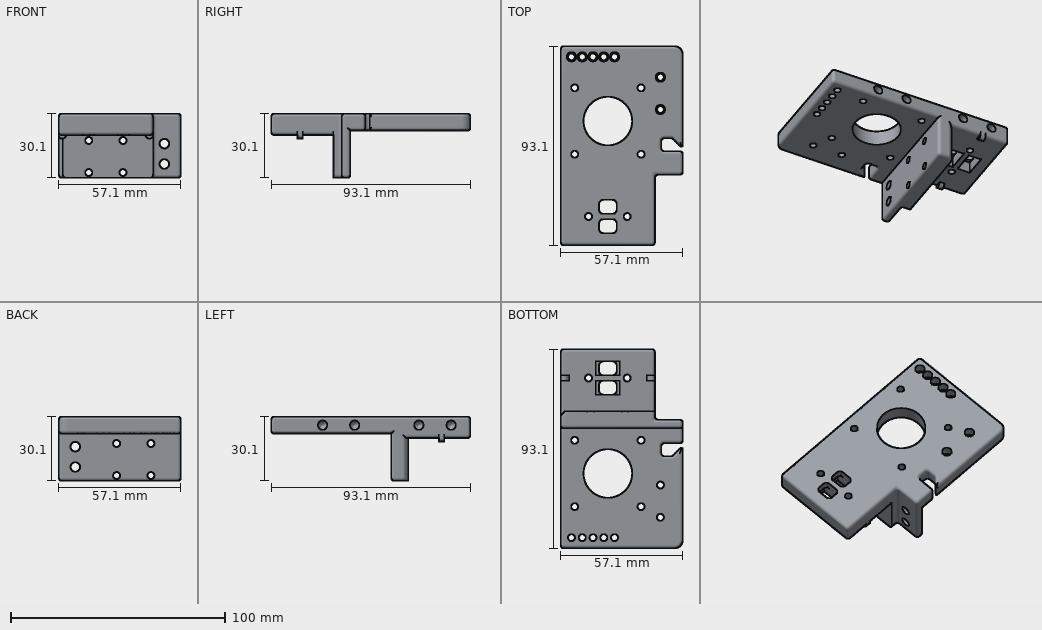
import cadquery as cq
import math

WIDTH = 57.1
LENGTH = 93.1
HEIGHT = 30.1
EDGE_ROUND = 1.5

REAR_THICKNESS = 8.0
FRONT_THICKNESS = 10.1
FRONT_WIDTH = 44.0
STEP_Y = 33.0
REAR_CORNER_RADIUS = 4.0
CENTRE_X = FRONT_WIDTH / 2

WALL_BACK_Y = 37.1
WALL_FRONT_Y = 29.05
WALL_CHAMFER = 2.0
STEP_CORNER_RADIUS = 1.6

NOTCH_X = 47.0
NOTCH_FRONT_Y = 44.0
NOTCH_BACK_Y = 50.0
NOTCH_SLOPE_X = 52.1
NOTCH_TIP_RADIUS = 0.7
NOTCH_BEND_RADIUS = 1.0

SCREW_DIAMETER = 3.2
INSERT_DIAMETER = 4.4
DRILL_POINT_ANGLE = 90
INSERT_DEPTH = 5.0
SIDE_HOLE_DEPTH = 8.0
MOTOR_Y = 58.1
MOTOR_BORE = 22.6
MOTOR_PITCH = 31.0
ROW_COUNT = 5
ROW_PITCH = 5.0
PAIR_X = 46.55
PAIR_YS = (63.5, 78.6)
SIDE_HOLE_YS = (9.0, 24.1, 54.1, 69.1)
WALL_SCREW_HALF_PITCH = 8.0
WALL_SCREW_ZS = (2.5, 17.5)
WALL_PAIR_X = 49.3
WALL_PAIR_ZS = (6.5, 16.0)

SLOT_CENTRE_Y = 13.5
SLOT_PITCH = 9.0
SLOT_WIDTH = 8.2
SLOT_LENGTH = 6.4
SLOT_CORNER = 2.0
SLOT_DEPTH = 4.0
POCKET_WIDTH = 11.2
SLOT_SCREW_OFFSET = 9.0

RIB_LENGTH = SLOT_PITCH - SLOT_LENGTH
RIB_WIDTH = 3.9
RIB_HEIGHT = 1.7

SAME = 0.01

SLOPE_ANGLE = math.radians(45)
FRONT_BOTTOM_Z = HEIGHT - FRONT_THICKNESS
REAR_BOTTOM_Z = HEIGHT - REAR_THICKNESS
NOTCH_SLOPE_END_Y = NOTCH_BACK_Y - (WIDTH - NOTCH_SLOPE_X)


def box(x0, x1, y0, y1, z0, z1):
    return cq.Workplane("XY").box(x1 - x0, y1 - y0, z1 - z0, centered=False).translate((x0, y0, z0))


def drill(points, diameter):
    """Vertical cutters through the full height."""
    return cq.Workplane("XY").pushPoints(points).circle(diameter / 2).extrude(HEIGHT)


def pointed_drill(diameter, depth):
    """Cutter running down from the origin, with a conical drill point below its full depth."""
    radius = diameter / 2
    point_height = radius / math.tan(math.radians(DRILL_POINT_ANGLE / 2))
    outline = [(0, 0), (radius, 0), (radius, -depth), (0, -depth - point_height)]
    return cq.Workplane("XZ").polyline(outline).close().revolve(360, (0, 0), (0, 1))


def make_notch():
    """Hook-shaped opening; the slope is extended past the right side to its meeting with the front line."""
    slope_rise = NOTCH_BACK_Y - NOTCH_FRONT_Y
    outline = [
        (NOTCH_X, NOTCH_FRONT_Y),
        (NOTCH_X, NOTCH_BACK_Y),
        (NOTCH_SLOPE_X, NOTCH_BACK_Y),
        (NOTCH_SLOPE_X + slope_rise, NOTCH_FRONT_Y),
    ]
    notch = cq.Workplane("XY").polyline(outline).close().extrude(HEIGHT)
    notch = notch.edges("|Z and <X").fillet(EDGE_ROUND)
    bend = cq.selectors.NearestToPointSelector((NOTCH_SLOPE_X, NOTCH_BACK_Y, HEIGHT / 2))
    return notch.edges(bend).fillet(NOTCH_BEND_RADIUS)


def make_blank():
    """Plate, hanging wall and pad with sharp outer edges."""
    rear = box(0, WIDTH, STEP_Y, LENGTH, REAR_BOTTOM_Z, HEIGHT)
    rear = rear.edges("|Z and >X and >Y").fillet(REAR_CORNER_RADIUS).cut(make_notch())
    front = box(0, FRONT_WIDTH, 0, STEP_Y, FRONT_BOTTOM_Z, HEIGHT)
    wall = box(0, WIDTH, STEP_Y, WALL_BACK_Y, 0, HEIGHT)
    pad = box(0, FRONT_WIDTH, WALL_FRONT_Y, WALL_BACK_Y, 0, FRONT_BOTTOM_Z)
    pad = pad.edges("|Z and <X and <Y").chamfer(WALL_CHAMFER)
    return rear.union(front).union(wall).union(pad).clean()


ROUNDED_CORNERS = [
    (0, 0),
    (FRONT_WIDTH, 0),
    (WIDTH, STEP_Y),
    (WIDTH, WALL_BACK_Y),
    (WIDTH, NOTCH_FRONT_Y),
    (0, LENGTH),
    (0, WALL_BACK_Y),
    (0, WALL_FRONT_Y + WALL_CHAMFER),
]


def is_rounded(edge):
    """Outer edges are rounded; inside corners and the outline of the wall's front face stay sharp."""
    centre = edge.Center()
    start, end = edge.startPoint(), edge.endPoint()
    if abs(start.z - end.z) > SAME:
        return any(math.hypot(centre.x - x, centre.y - y) < SAME for x, y in ROUNDED_CORNERS)
    on_wall_front = abs(centre.y - WALL_FRONT_Y) < SAME
    above_pad_chamfer = (
        abs(centre.z - FRONT_BOTTOM_Z) < SAME
        and SAME < centre.x < WALL_CHAMFER
        and WALL_FRONT_Y < centre.y < WALL_FRONT_Y + WALL_CHAMFER
    )
    along_wall_back = abs(centre.z - REAR_BOTTOM_Z) < SAME and abs(centre.y - WALL_BACK_Y) < SAME
    return not (on_wall_front or above_pad_chamfer or along_wall_back)


def make_body():
    body = make_blank().edges().filter(is_rounded).fillet(EDGE_ROUND)
    step_corner = cq.selectors.NearestToPointSelector((FRONT_WIDTH, STEP_Y, HEIGHT / 2))
    return body.edges(step_corner).fillet(STEP_CORNER_RADIUS)


def make_tip_trim():
    """Cutter that blunts the acute tip between the notch slope and the right side."""
    tangent = NOTCH_TIP_RADIUS / math.tan(SLOPE_ANGLE / 2)
    slope_reach = tangent * math.sin(SLOPE_ANGLE)
    centre = (WIDTH - NOTCH_TIP_RADIUS, NOTCH_SLOPE_END_Y + tangent)
    lowest = (centre[0], centre[1] - NOTCH_TIP_RADIUS)
    return (
        cq.Workplane("XY")
        .moveTo(WIDTH, NOTCH_SLOPE_END_Y)
        .lineTo(WIDTH, centre[1])
        .threePointArc(lowest, (WIDTH - slope_reach, NOTCH_SLOPE_END_Y + slope_reach))
        .close()
        .extrude(HEIGHT)
    )


def make_ribs():
    """Two short ribs between the cable slots, one at each side of the front area's underside."""
    diagonal = RIB_HEIGHT * math.cos(SLOPE_ANGLE)
    rib = (
        cq.Workplane("XZ", origin=(0, SLOT_CENTRE_Y + RIB_LENGTH / 2, FRONT_BOTTOM_Z))
        .moveTo(0, 0)
        .threePointArc((RIB_HEIGHT - diagonal, -diagonal), (RIB_HEIGHT, -RIB_HEIGHT))
        .threePointArc(
            (RIB_HEIGHT * (1 + math.sin(SLOPE_ANGLE / 2)), -RIB_HEIGHT * math.cos(SLOPE_ANGLE / 2)),
            (RIB_HEIGHT + diagonal, -diagonal),
        )
        .lineTo(RIB_WIDTH, 0)
        .lineTo(RIB_WIDTH, EDGE_ROUND)
        .lineTo(0, EDGE_ROUND)
        .close()
        .extrude(RIB_LENGTH)
    )
    return rib.union(rib.mirror("YZ").translate((FRONT_WIDTH, 0, 0)))


def make_plate_holes():
    motor = drill([(CENTRE_X, MOTOR_Y)], MOTOR_BORE)
    motor_screws = (
        cq.Workplane("XY")
        .center(CENTRE_X, MOTOR_Y)
        .rect(MOTOR_PITCH, MOTOR_PITCH, forConstruction=True)
        .vertices()
        .circle(SCREW_DIAMETER / 2)
        .extrude(HEIGHT)
    )
    slot_screw_points = [(CENTRE_X + side * SLOT_SCREW_OFFSET, SLOT_CENTRE_Y) for side in (-1, 1)]
    slot_screws = drill(slot_screw_points, SCREW_DIAMETER)
    slots = (
        cq.Workplane("XY")
        .center(CENTRE_X, SLOT_CENTRE_Y)
        .rarray(0.9, SLOT_PITCH, 1, 2)
        .rect(SLOT_WIDTH, SLOT_LENGTH)
        .extrude(HEIGHT)
        .edges("|Z")
        .fillet(SLOT_CORNER)
    )
    return motor.union(motor_screws).union(slot_screws).union(slots)


def make_slot_pockets():
    """Recesses from below that widen each cable slot sideways and leave the bridge between them."""
    return (
        cq.Workplane("XY")
        .center(CENTRE_X, SLOT_CENTRE_Y)
        .rarray(0.9, SLOT_PITCH, 1, 2)
        .rect(POCKET_WIDTH, SLOT_LENGTH)
        .extrude(HEIGHT - SLOT_DEPTH)
    )


def make_insert_holes():
    """Stepped holes: wide with a drill point from the top, narrow all the way through."""
    points = [(ROW_PITCH * (i + 1), LENGTH - ROW_PITCH) for i in range(ROW_COUNT)]
    points += [(PAIR_X, y) for y in PAIR_YS]
    cutters = drill(points, SCREW_DIAMETER)
    for x, y in points:
        cutters = cutters.union(pointed_drill(INSERT_DIAMETER, INSERT_DEPTH).translate((x, y, HEIGHT)))
    return cutters


def make_side_holes():
    """Blind holes in the left side, halfway through the rear thickness."""
    cutter = pointed_drill(INSERT_DIAMETER, SIDE_HOLE_DEPTH).rotate((0, 0, 0), (0, 1, 0), -90)
    holes = cq.Workplane("XY")
    for y in SIDE_HOLE_YS:
        holes = holes.add(cutter.translate((0, y, HEIGHT - REAR_THICKNESS / 2)))
    return holes.combine()


def make_wall_holes():
    def bore(points, diameter):
        return (
            cq.Workplane("XZ", origin=(0, WALL_BACK_Y, 0))
            .pushPoints(points)
            .circle(diameter / 2)
            .extrude(WALL_BACK_Y - WALL_FRONT_Y)
        )

    screws = [(CENTRE_X + side * WALL_SCREW_HALF_PITCH, z) for side in (-1, 1) for z in WALL_SCREW_ZS]
    inserts = [(WALL_PAIR_X, z) for z in WALL_PAIR_ZS]
    return bore(screws, SCREW_DIAMETER).union(bore(inserts, INSERT_DIAMETER))


result = (
    make_body()
    .cut(make_tip_trim())
    .union(make_ribs())
    .cut(make_plate_holes())
    .cut(make_slot_pockets())
    .cut(make_insert_holes())
    .cut(make_side_holes())
    .cut(make_wall_holes())
)